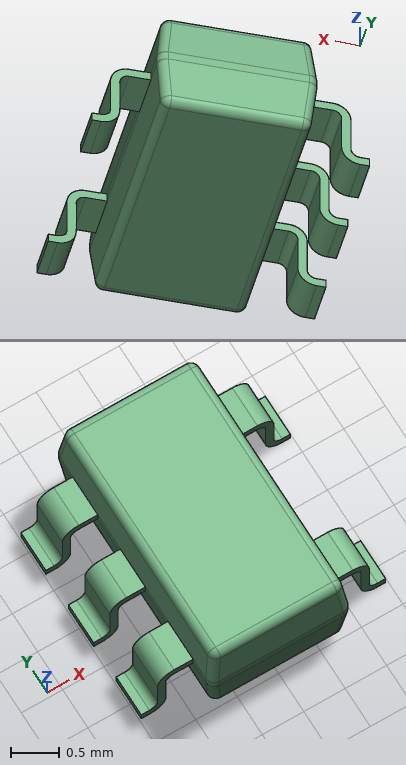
import cadquery as cq
import math

housing_length = 3.1
housing_width = 1.7
housing_height = 1.2
band_height = 0.1
draft_angle = 6.0
edge_radius = 0.1
standoff = 0.15

lead_span = 2.95
lead_width = 0.5
lead_thickness = band_height
lead_pitch = 0.95
inner_bend_radius = 0.1
foot_flat = 0.1

lead_places = [(-1, -1), (-1, 0), (-1, 1), (1, -1), (1, 1)]

outer_bend_radius = inner_bend_radius + lead_thickness
middle_height = standoff + housing_height / 2
taper_height = (housing_height - band_height) / 2
lead_top = middle_height + lead_thickness / 2


def tapered_half(base_height, direction):
    """Drafted block that narrows away from the band, upward (1) or downward (-1)."""
    return (
        cq.Workplane("XY", origin=(0, 0, base_height))
        .rect(housing_width, housing_length)
        .extrude(direction * taper_height, taper=draft_angle)
    )


def make_housing():
    """Double-tapered box with rounded corners and rounded top and bottom rims."""
    band_bottom = middle_height - band_height / 2
    band_top = middle_height + band_height / 2
    band = (
        cq.Workplane("XY", origin=(0, 0, band_bottom))
        .rect(housing_width, housing_length)
        .extrude(band_height)
    )
    box = band.union(tapered_half(band_top, 1)).union(tapered_half(band_bottom, -1))
    corners = box.edges("not #Z")
    rims = box.faces("<Z or >Z").edges()
    return corners.add(rims).fillet(edge_radius)


def make_lead(side, place):
    """Gull-wing lead on one side of the housing, extruded across its width."""
    root = housing_width / 2
    tip = lead_span / 2
    foot_bend = tip - foot_flat
    leg_outer = foot_bend - inner_bend_radius
    leg_inner = leg_outer - lead_thickness
    shoulder_bend = leg_inner - inner_bend_radius
    shoulder_bend_height = lead_top - outer_bend_radius
    foot_bend_height = outer_bend_radius
    diagonal = math.cos(math.pi / 4)

    outer_reach = outer_bend_radius * diagonal
    inner_reach = inner_bend_radius * diagonal
    profile = (
        cq.Workplane("XZ", origin=(0, lead_width / 2, 0))
        .moveTo(root, lead_top)
        .lineTo(shoulder_bend, lead_top)
        .threePointArc(
            (shoulder_bend + outer_reach, shoulder_bend_height + outer_reach),
            (leg_outer, shoulder_bend_height),
        )
        .lineTo(leg_outer, foot_bend_height)
        .threePointArc(
            (foot_bend - inner_reach, foot_bend_height - inner_reach),
            (foot_bend, lead_thickness),
        )
        .lineTo(tip, lead_thickness)
        .lineTo(tip, 0)
        .lineTo(foot_bend, 0)
        .threePointArc(
            (foot_bend - outer_reach, foot_bend_height - outer_reach),
            (leg_inner, foot_bend_height),
        )
        .lineTo(leg_inner, shoulder_bend_height)
        .threePointArc(
            (shoulder_bend + inner_reach, shoulder_bend_height + inner_reach),
            (shoulder_bend, lead_top - lead_thickness),
        )
        .lineTo(root, lead_top - lead_thickness)
        .close()
    )
    lead = profile.extrude(lead_width)
    if side < 0:
        lead = lead.mirror("YZ")
    return lead.translate((0, place * lead_pitch, 0))


housing = make_housing().solids()
leads = [make_lead(side, place) for side, place in lead_places]

result = cq.Compound.makeCompound([housing.val(), *[lead.val() for lead in leads]])